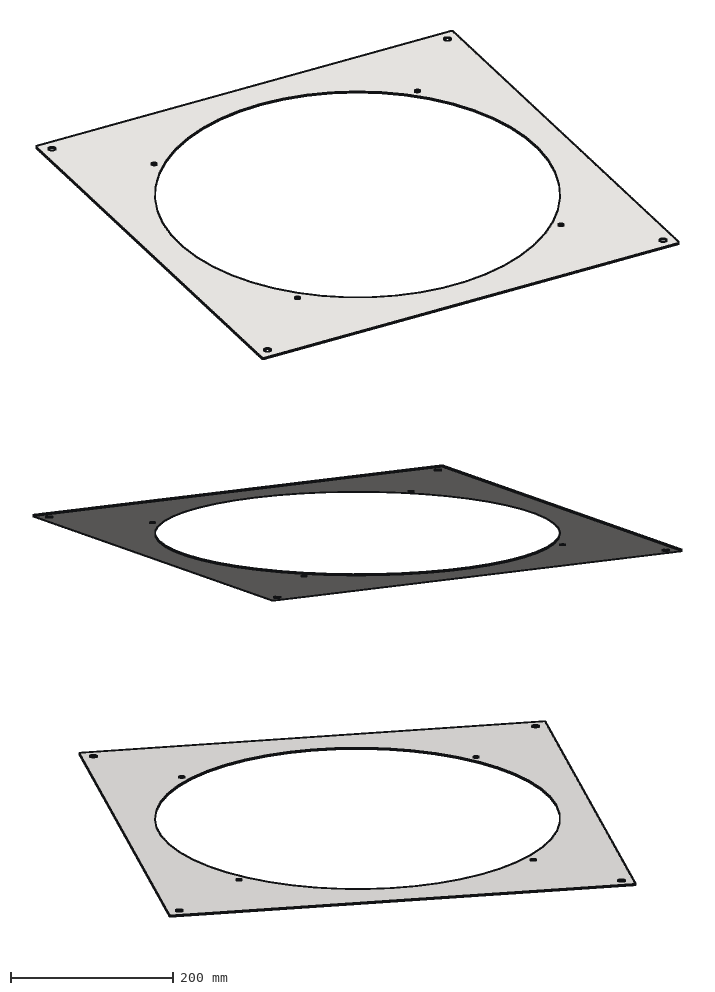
import cadquery as cq

plate_side = 586.0
plate_thickness = 2.0
corner_radius = 2.0
opening_diameter = 500.0

corner_hole_diameter = 9.0
corner_hole_spacing = 556.0

ring_hole_diameter = 7.0
ring_hole_spacing = 370.0


def make_plate():
    """Flat square plate, centred on the origin in X and Y."""
    blank = cq.Workplane("XY").rect(plate_side, plate_side).extrude(plate_thickness)
    return blank.edges("|Z").fillet(corner_radius)


def cut_opening(body):
    """Cut the round central opening through the plate."""
    return body.faces(">Z").workplane(origin=(0, 0)).hole(opening_diameter)


def drill_square_pattern(body, spacing, diameter):
    """Drill four through holes at the corners of a centred square."""
    top = body.faces(">Z").workplane(origin=(0, 0))
    centres = top.rect(spacing, spacing, forConstruction=True).vertices()
    return centres.hole(diameter)


plate = cut_opening(make_plate())
plate = drill_square_pattern(plate, corner_hole_spacing, corner_hole_diameter)
result = drill_square_pattern(plate, ring_hole_spacing, ring_hole_diameter)